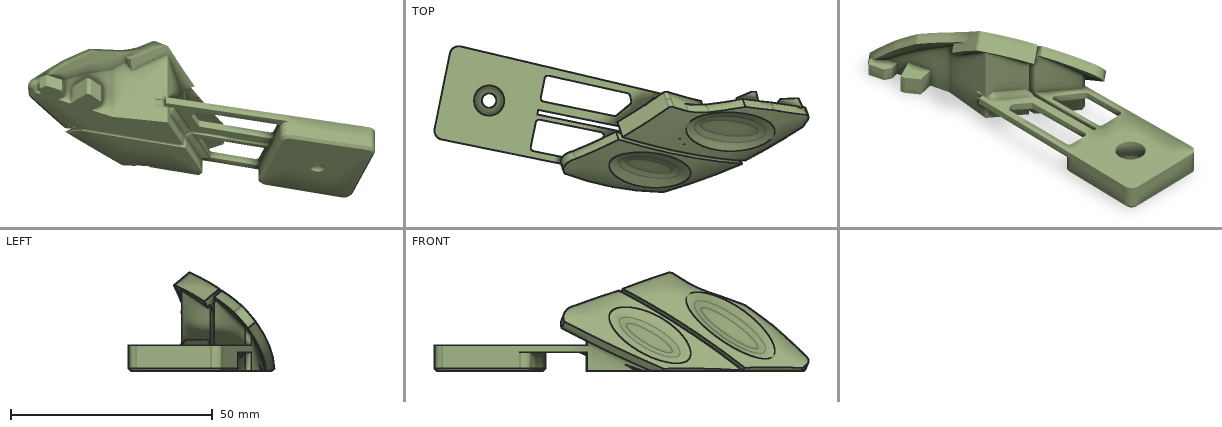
import cadquery as cq
import math

base_corner = (-0.5, 13.1)
base_turn = -11.5

block_width = 23.7
block_length = 24.3
block_height = 6.4
block_corner_radius = 2.3
block_bottom_chamfer = 0.65
bolt_diameter = 3.5
bolt_head_diameter = 7.5
bolt_head_depth = 4.4
bolt_along = 11.9
bolt_across = block_width / 2

web_thickness = 1.8
web_bottom = block_height - web_thickness
web_far_end = (54.3, 22.0)
web_root_chamfer = 1.7
window_corner_radius = 0.8
slit_centre = 11.4
slit_width = 1.1
near_window = [(block_length, 1.8), (36.65, 1.8), (42.2, 9.65), (block_length, 9.65)]
far_window = [(block_length, 14.3), (43.3, 14.3), (46.6, 18.3), (45.65, 20.4), (block_length, 20.8)]

stem_front = 39.1
stem_near_corner = (38.6, 1.5)
stem_split_corner = (46.3, slit_centre)
stem_far_corner = (53.4, 20.6)
stem_back = 88.15
stem_back_width = 23.9
stem_waist = (67.3, 19.0)
stem_depth = 4.3

key_plane = cq.Plane(origin=(61.2, 9.7, 10.7), xDir=(0.83, -0.16, -0.54), normal=(0.26, -0.74, 0.62))
dome_radius = 134.5
dome_crown = (0.7, 0, 0.9)
split_width = 1.1
plate_thickness = 2.6
corner_pad_thickness = 5.0
split_right = 18.6
plate_reach = 18.6

dimple_step_depth = 1.1
dimple_floor_depth = 1.5

middle_catch = [(74.8, 16.7), (74.8, 22.9), (78.5, 24.5), (79.7, 24.5), (81.7, 16.7)]
middle_catch_height = 4.6
end_catch = [(84.4, 16.7), (84.4, 21.2), (85.7, 22.7), (90.2, 22.9), (91.1, 21.0), (88.15, 16.7)]
end_catch_height = 3.25

clear_height = 55.7
clear_span = 4 * clear_height

base_plane = cq.Plane(origin=(*base_corner, 0)).rotated((0, 0, base_turn))


def base_sketch(z=0):
    """Workplane in the turned base frame at height z."""
    return cq.Workplane(base_plane).workplane(offset=z)


def key_sketch(height=0):
    """Workplane parallel to the key plane."""
    return cq.Workplane(key_plane).workplane(offset=height)


dome_centre = key_plane.toWorldCoords((dome_crown[0], dome_crown[1], dome_crown[2] - dome_radius))


def dome(depth=0):
    """Ball whose surface lies the given depth below the key faces."""
    return cq.Workplane("XY").sphere(dome_radius - depth).translate(dome_centre)


def far_edge(along):
    """Far side of the block and the web, closing in slightly towards the stems."""
    return block_width - along * (block_width - web_far_end[1]) / web_far_end[0]


def block():
    outline = [(0, 0), (block_length, 0), (block_length, far_edge(block_length)), (0, block_width)]
    body = base_sketch().polyline(outline).close().extrude(block_height)
    body = body.edges("|Z").fillet(block_corner_radius)
    return body.faces("<Z").chamfer(block_bottom_chamfer)


def bolt_hole():
    axis = base_sketch().center(bolt_along, bolt_across)
    shank = axis.circle(bolt_diameter / 2).extrude(clear_height)
    seat = axis.workplane(offset=block_height - bolt_head_depth)
    return shank.union(seat.circle(bolt_head_diameter / 2).extrude(clear_height))


def web():
    """Thin sheet that starts inside the block and ends inside the stems."""
    web_start = block_length / 2
    outline = [
        (web_start, 0),
        (stem_front, 0),
        (web_far_end[0], slit_centre),
        web_far_end,
        (web_start, far_edge(web_start)),
    ]
    return base_sketch(web_bottom).polyline(outline).close().extrude(web_thickness)


def stems():
    """Solid supports of both keys; above the stem depth they stay within the plates."""
    outline = [
        (stem_front, 0),
        (stem_back, 0),
        (stem_back, stem_back_width),
        stem_waist,
        stem_far_corner,
        stem_split_corner,
        stem_near_corner,
    ]
    body = base_sketch().polyline(outline).close().extrude(clear_height)
    inside_plates = key_prism(near_key_outline).union(key_prism(far_key_outline))
    top = body.intersect(dome(plate_thickness / 2)).intersect(inside_plates)
    return body.intersect(dome(stem_depth)).union(top)


def web_root(near, far, z, height):
    """Chamfer along the stem wall on one face of the web, between two points of the wall."""
    outline = [
        (near[0] - web_root_chamfer, near[1]),
        (far[0] - web_root_chamfer, far[1]),
        (far[0] + 2 * web_root_chamfer, far[1]),
        (near[0] + 2 * web_root_chamfer, near[1]),
    ]
    return base_sketch(z).polyline(outline).close().extrude(height, taper=45)


def window(points):
    """Rounded opening through the web and its root chamfers."""
    depth = web_thickness + 2 * web_root_chamfer
    hole = base_sketch(web_bottom - web_root_chamfer).polyline(points).close().extrude(depth)
    return hole.edges("|Z").fillet(window_corner_radius)


def slit():
    length = 2 * stem_back
    return (
        base_sketch()
        .center(block_length + length / 2, slit_centre)
        .rect(length, slit_width)
        .extrude(clear_height)
    )


def near_key_outline(height):
    return (
        key_sketch(height)
        .moveTo(-18.4, -split_width / 2)
        .lineTo(-24.5, -11.1)
        .threePointArc((-25.5, -14.4), (-23.9, -17.2))
        .threePointArc((-9.3, -16.7), (3.25, -14.7))
        .lineTo(split_right, -split_width / 2)
        .close()
    )


def far_key_corner(height):
    """Left side of the far key, up to its rounded top corner."""
    return (
        key_sketch(height)
        .moveTo(-17.9, split_width / 2)
        .lineTo(-11.8, 13.4)
        .threePointArc((-11.3, 13.7), (-10.6, 13.8))
    )


def far_key_outline(height):
    return (
        far_key_corner(height)
        .threePointArc((-6.3, 13.6), (-0.7, 14.8))
        .lineTo(8.3, 18.3)
        .lineTo(17.0, 18.3)
        .lineTo(27.8, 17.3)
        .threePointArc((29.0, 16.6), (29.3, 15.3))
        .lineTo(29.2, 13.3)
        .lineTo(split_right, split_width / 2)
        .close()
    )


def corner_pad_outline(height):
    """Left part of the far key, where a pad thickens the plate."""
    return (
        far_key_corner(height)
        .threePointArc((-6.3, 13.6), (-0.7, 13.5))
        .lineTo(-0.7, split_width / 2)
        .close()
    )


def key_prism(outline):
    """Prism square to the key plane, long enough to pass through the plates."""
    return outline(-plate_reach).extrude(2 * plate_reach)


def domed_plate(outline, thickness):
    """Plate of even thickness under the dome."""
    return key_prism(outline).intersect(dome()).cut(dome(thickness))


def tangent_plane(along, across):
    """Plane touching the dome above a point of the key plane, its X along the split."""
    reach = math.hypot(along - dome_crown[0], across - dome_crown[1])
    height = dome_crown[2] - dome_radius + math.sqrt(dome_radius**2 - reach**2)
    touch = key_plane.toWorldCoords((along, across, height))
    normal = (touch - dome_centre).normalized()
    x_dir = key_plane.xDir - normal * key_plane.xDir.dot(normal)
    return cq.Plane(origin=touch, xDir=x_dir, normal=normal)


def dimple(along, across, rim, step, floor):
    """Cutter of two stacked oval funnels; the upper one meets the falling dome in the rim oval."""
    opening = []
    for rim_radius, step_radius in zip(rim, step):
        rim_sag = rim_radius**2 / (2 * dome_radius)
        slope = (rim_radius - step_radius) / (dimple_step_depth - rim_sag)
        opening.append(step_radius + slope * dimple_step_depth)
    plane = tangent_plane(along, across)
    upper = (
        cq.Workplane(plane).ellipse(*opening)
        .workplane(offset=-dimple_step_depth).ellipse(*step)
        .loft(ruled=True)
    )
    lower = (
        cq.Workplane(plane).workplane(offset=-dimple_step_depth).ellipse(*step)
        .workplane(offset=dimple_step_depth - dimple_floor_depth).ellipse(*floor)
        .loft(ruled=True)
    )
    return upper.union(lower)


def catch(points, height):
    return cq.Workplane("XY").polyline(points).close().extrude(height)


keys = stems()
keys = keys.union(web_root(stem_near_corner, stem_far_corner, web_bottom, -web_root_chamfer))
keys = keys.union(web_root(stem_split_corner, stem_far_corner, block_height, web_root_chamfer))
keys = keys.cut(slit())
keys = keys.union(domed_plate(near_key_outline, plate_thickness))
keys = keys.union(domed_plate(far_key_outline, plate_thickness))
keys = keys.union(domed_plate(corner_pad_outline, corner_pad_thickness))
keys = keys.cut(dimple(-4.8, -7.9, rim=(11.5, 6.3), step=(8.7, 3.5), floor=(6.7, 1.95)))
keys = keys.cut(dimple(8.9, 9.7, rim=(13.1, 6.5), step=(10.6, 4.3), floor=(8.5, 2.4)))
keys = keys.union(catch(middle_catch, middle_catch_height))
keys = keys.union(catch(end_catch, end_catch_height))

result = block().union(web().cut(slit())).union(keys)
result = result.cut(window(far_window)).cut(window(near_window)).cut(bolt_hole())
above_ground = cq.Workplane("XY").rect(clear_span, clear_span).extrude(clear_height)
result = result.intersect(above_ground)